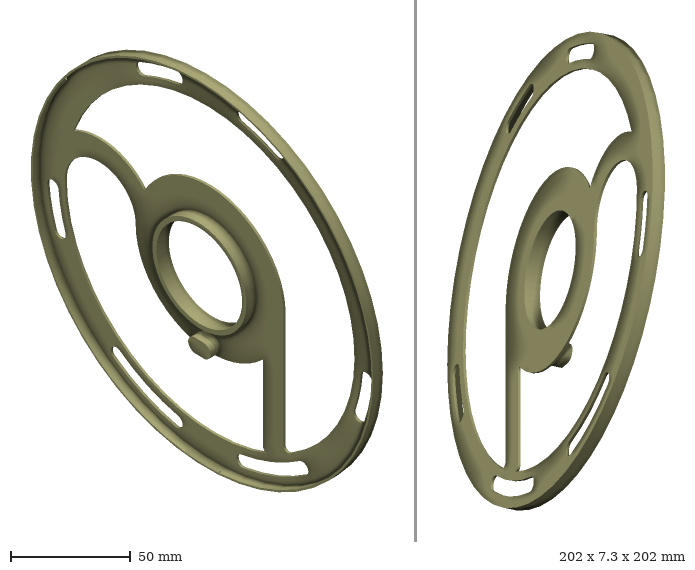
import cadquery as cq
import math

rim_depth = 5.7
hub_depth = 7.3
web_thickness = 1.2

rim_radius = 101.0
lip_width = 1.0
lip_inner_radius = rim_radius - lip_width
ring_inner_radius = 85.4

disc_radius = 43.5
collar_radius = 27.6
bore_radius = 25.2

arm_width = 12.1
hook_center_x = -(ring_inner_radius + disc_radius) / 2
hook_inner_radius = (ring_inner_radius - disc_radius) / 2
hook_outer_radius = hook_inner_radius + arm_width
post_fillet = 2.5
post_corner_radius = 2.5

slot_radius = 92.6
slot_width = 6.7
short_slot_sweep = 13.6
long_slot_sweep = 24.3
slot_offset = 12.0
side_slot_start = -4.4

knob_length = 13.1
knob_height = 8.3
knob_z = -38.1
knob_groove_depth = 0.2
knob_groove_width = 0.6
knob_groove_from_tip = 3.0

bead_width = 1.2
bead_height = 1.0
bead_sweep = 11.6
bead_angles = (30, 150, 270)


def plane_at(depth):
    """Sketch plane seen from the front, the given depth forward of the back face."""
    return cq.Workplane("XZ", origin=(0, -depth, 0))


def disc(radius, depth):
    return plane_at(0).circle(radius).extrude(depth)


def polar(radius, degrees):
    angle = math.radians(degrees)
    return (radius * math.cos(angle), radius * math.sin(angle))


def curved_slot(start, sweep):
    """Cutter following the rim from one end centre to the other, with round ends."""
    end = start + sweep
    middle = start + sweep / 2
    outer = slot_radius + slot_width / 2
    inner = slot_radius - slot_width / 2
    cap = math.degrees(slot_width / 2 / slot_radius)
    return (
        plane_at(0)
        .moveTo(*polar(outer, start))
        .threePointArc(polar(outer, middle), polar(outer, end))
        .threePointArc(polar(slot_radius, end + cap), polar(inner, end))
        .threePointArc(polar(inner, middle), polar(inner, start))
        .threePointArc(polar(slot_radius, start - cap), polar(outer, start))
        .close()
        .extrude(web_thickness)
    )


def hook_arm():
    """Arched arm: upper half of a ring standing between the disc and the rim."""
    arch = (
        plane_at(0)
        .center(hook_center_x, 0)
        .circle(hook_outer_radius)
        .circle(hook_inner_radius)
        .extrude(web_thickness)
    )
    upper_half = (
        plane_at(0)
        .center(hook_center_x, hook_outer_radius / 2)
        .rect(2 * hook_outer_radius, hook_outer_radius)
        .extrude(web_thickness)
    )
    return arch.intersect(upper_half).intersect(disc(lip_inner_radius, web_thickness))


def post_arm():
    """Straight arm dropping from the right of the disc, its inner foot corner rounded."""
    left = disc_radius - arm_width
    foot_z = -math.sqrt(slot_radius**2 - disc_radius**2)
    corner_x = left + post_corner_radius
    corner_bottom_z = -math.sqrt(ring_inner_radius**2 - corner_x**2)
    corner_z = corner_bottom_z + post_corner_radius
    arc_step = post_corner_radius * math.sqrt(0.5)
    return (
        plane_at(0)
        .moveTo(left, 0)
        .lineTo(disc_radius, 0)
        .lineTo(disc_radius, foot_z)
        .lineTo(corner_x, foot_z)
        .lineTo(corner_x, corner_bottom_z)
        .threePointArc((corner_x - arc_step, corner_z - arc_step), (left, corner_z))
        .close()
        .extrude(web_thickness)
    )


def knob():
    """Stadium-shaped knob with a shallow groove around it."""
    body = plane_at(0).center(0, knob_z).slot2D(knob_length, knob_height).extrude(hub_depth)
    groove_start = hub_depth - knob_groove_from_tip - knob_groove_width
    groove = (
        plane_at(groove_start)
        .center(0, knob_z)
        .slot2D(knob_length, knob_height)
        .slot2D(knob_length - 2 * knob_groove_depth, knob_height - 2 * knob_groove_depth)
        .extrude(knob_groove_width)
    )
    return body.cut(groove)


def snap_bead(middle):
    """Triangular bead on the inside of the lip, following its curve."""
    root_radius = lip_inner_radius + lip_width / 2
    bead = (
        cq.Workplane("XY")
        .moveTo(root_radius, -rim_depth)
        .lineTo(lip_inner_radius, -rim_depth)
        .lineTo(lip_inner_radius - bead_height, bead_width / 2 - rim_depth)
        .lineTo(lip_inner_radius, bead_width - rim_depth)
        .lineTo(root_radius, bead_width - rim_depth)
        .close()
        .revolve(bead_sweep, (0, 0), (0, 1))
    )
    return bead.rotate((0, 0, 0), (0, 1, 0), -middle - bead_sweep / 2)


web = disc(rim_radius, web_thickness).cut(disc(ring_inner_radius, web_thickness))
web = web.union(disc(disc_radius, web_thickness)).union(hook_arm()).union(post_arm())

post_foot_z = -math.sqrt(ring_inner_radius**2 - disc_radius**2)
post_foot = cq.selectors.NearestToPointSelector((disc_radius, -web_thickness / 2, post_foot_z))
web = web.edges("|Y").edges(post_foot).fillet(post_fillet)

short_slot_starts = (
    90 - slot_offset - short_slot_sweep,
    90 + slot_offset,
    side_slot_start - short_slot_sweep,
    180 - side_slot_start,
)
long_slot_starts = (270 - slot_offset - long_slot_sweep, 270 + slot_offset)
for start in short_slot_starts:
    web = web.cut(curved_slot(start, short_slot_sweep))
for start in long_slot_starts:
    web = web.cut(curved_slot(start, long_slot_sweep))

lip = disc(rim_radius, rim_depth).cut(disc(lip_inner_radius, rim_depth))
result = web.union(lip)
for middle in bead_angles:
    result = result.union(snap_bead(middle))
result = result.union(disc(collar_radius, hub_depth)).union(knob())
result = result.cut(disc(bore_radius, hub_depth))